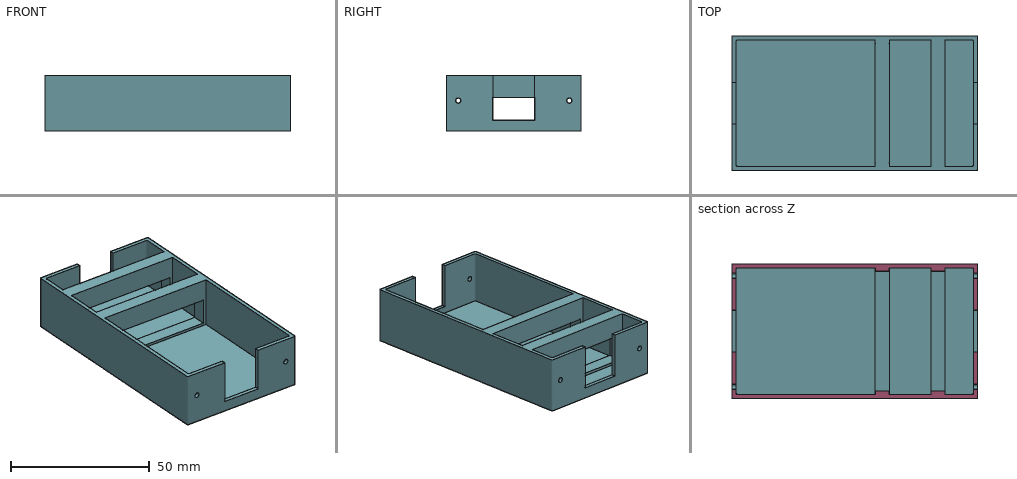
import cadquery as cq

length = 88.5
width = 48.5
height = 20.1
wall = 1.5
floor = 1.5
outer_corner_radius = 0.4
inner_corner_radius = 0.5

divider_starts = (51.6, 71.7)
divider_thickness = 5.1
window_sill = 1.0
window_post = 1.2
divider_beam_height = 8.05

slot_width = 15.0
slot_bottom = 4.0
hole_diameter = 1.8
hole_spacing = 40.0
hole_height = 11.0

inner_length = length - 2 * wall
inner_width = width - 2 * wall


def block(x_size, y_size, bottom, top):
    """Block centred on the Z axis between two heights."""
    return (
        cq.Workplane("XY")
        .box(x_size, y_size, top - bottom, centered=(True, True, False))
        .translate((0, 0, bottom))
    )


def open_box():
    outside = block(length, width, 0, height).edges("|Z").fillet(outer_corner_radius)
    cavity = block(inner_length, inner_width, floor, height).edges("|Z").fillet(inner_corner_radius)
    return outside.cut(cavity)


def divider(start):
    panel = block(divider_thickness, inner_width, floor, height)
    window = block(
        divider_thickness,
        inner_width - 2 * window_post,
        floor + window_sill,
        height - divider_beam_height,
    )
    return panel.cut(window).translate((start + divider_thickness / 2 - length / 2, 0, 0))


def end_holes():
    return (
        cq.Workplane("YZ", origin=(-length / 2, 0, 0))
        .pushPoints([(side * hole_spacing / 2, hole_height) for side in (-1, 1)])
        .circle(hole_diameter / 2)
        .extrude(length)
    )


body = open_box().cut(end_holes())
for side in (-1, 1):
    slot = block(wall, slot_width, slot_bottom, height)
    body = body.cut(slot.translate((side * (length - wall) / 2, 0, 0)))

result = body
for start in divider_starts:
    result = result.union(divider(start))